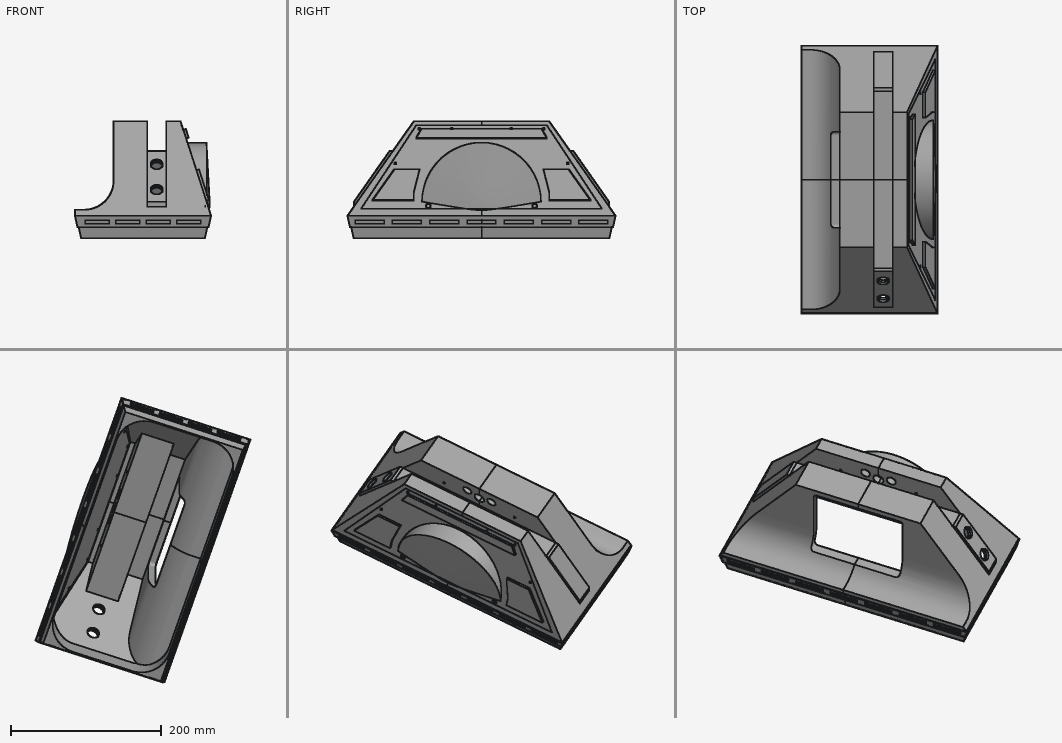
import cadquery as cq
import math

LENGTH = 355.5
WIDTH = 180.5
HEIGHT = 155.3
RIM_Z = 30.0
TOP_X = 140.0
TOP_HALF_Y = 89.5

LEDGE_TOP_Z = 38.0
LEDGE_DEPTH = 12.8
SWEEP_RADIUS = 38.5

FRONT_WALL = 10.0
THIN_WALL = 3.5
BASE_WALL = 1.6
BASE_CORNER_RADIUS = 39.0

SLOT_X = 96.0
SLOT_WIDTH = 25.0
SLOT_FLOOR_Z = 116.0

WINDOW_HALF_Y = 63.5
WINDOW_BOTTOM_Z = 48.5
WINDOW_TOP_Z = 146.8
WINDOW_CORNER_RADIUS = 5.0

CENTRE_HOLE_DIAMETER = 14.5
CENTRE_HOLE_Z = 133.0
SIDE_HOLE_DIAMETER = 12.8
SIDE_HOLE_Y = 18.5
SIDE_HOLE_Z = 137.5
SCREW_HOLE_DIAMETER = 2.52
WALL_SCREW_Y = 54.0
WALL_SCREW_Z = 128.0

BELT_BOTTOM_Z = 15.0
BELT_THICKNESS = 1.6
BASE_TAPER = 0.22
BELT_SLIT_HEIGHT = 4.5
BELT_SLIT_Z = 21.5
END_SLIT_COUNT = 4
END_SLIT_LENGTH = 32.0
END_SLIT_PITCH = 40.5
SIDE_SLIT_COUNT = 7
SIDE_SLIT_LENGTH = 38.5
SIDE_SLIT_PITCH = 49.5

PLATE_THICKNESS = 3.5
PLATE_END_Y = 169.0
PLATE_HOLE_DIAMETER = 16.0
PLATE_HOLE_LEVELS = (62.5, 96.0)

PANEL_TOP_Z = 150.0
PANEL_TOP_HALF_Y = 86.5
PANEL_BOTTOM_Z = 39.0
PANEL_BOTTOM_HALF_Y = 159.5
PANEL_SCREWS = ((39.5, 145.5), (82.5, 145.5), (114.5, 99.5))
PANEL_HOLE_DIAMETER = 6.5
PANEL_HOLE_Y = 70.5
PANEL_HOLE_Z = 43.5

DRUM_RADIUS = 79.0
DRUM_AXIS_Z = 48.0
DRUM_RIM_X = 174.5
DRUM_TIP_X = 178.7

TRIM_THICKNESS = 3.5
STRIP_TOP_Z = 144.0
STRIP_TOP_HALF_Y = 80.0
STRIP_BOTTOM_Z = 132.2
STRIP_BOTTOM_HALF_Y = 86.7
PAD_OUTLINE = ((82.0, 90.3), (116.0, 90.3), (144.5, 49.7), (89.5, 49.7), (89.5, 61.0))

SIDES = (-1, 1)
MID_X = WIDTH / 2
HOOD_HEIGHT = HEIGHT - RIM_Z
SIDE_ANGLE = math.atan2(WIDTH - TOP_X, HOOD_HEIGHT)
END_ANGLE = math.atan2(LENGTH / 2 - TOP_HALF_Y, HOOD_HEIGHT)
FRONT_X = LEDGE_DEPTH + SWEEP_RADIUS
SWEEP_Z = LEDGE_TOP_Z + SWEEP_RADIUS

SIDE_PLANE = cq.Plane(
    origin=(WIDTH, 0, RIM_Z),
    xDir=(0, 1, 0),
    normal=(math.cos(SIDE_ANGLE), 0, math.sin(SIDE_ANGLE)),
)


def side_x(z):
    """X of the outer +X side at height z."""
    return WIDTH - (z - RIM_Z) * math.tan(SIDE_ANGLE)


def end_y(z):
    """Half length between the outer sloped ends at height z."""
    return LENGTH / 2 - (z - RIM_Z) * math.tan(END_ANGLE)


def on_side(y, z):
    """Point of the sloped +X side, in the coordinates of SIDE_PLANE."""
    return (y, (z - RIM_Z) / math.cos(SIDE_ANGLE))


def side_slab(outline, thickness):
    """Slab standing on the sloped +X side; a negative thickness goes inward."""
    points = [on_side(y, z) for y, z in outline]
    return cq.Workplane(SIDE_PLANE).polyline(points).close().extrude(thickness)


def sweep_point(radius, z):
    """Point of a circle about the sweep axis, at height z, on its lower right."""
    drop = SWEEP_Z - z
    return (LEDGE_DEPTH + math.sqrt(radius**2 - drop**2), z)


def sweep_middle(radius, z):
    """Middle of the arc that runs from height z up to the level of the sweep axis."""
    angle = math.asin((SWEEP_Z - z) / radius) / 2
    return (LEDGE_DEPTH + radius * math.cos(angle), SWEEP_Z - radius * math.sin(angle))


def tapered_block(inset, bottom_z, top_z):
    """Block that narrows downward, parallel to the base; inset is measured at the rim."""
    def size_at(z):
        run = 2 * (inset + BASE_TAPER * (RIM_Z - z))
        return (WIDTH - run, LENGTH - run)

    return (
        cq.Workplane("XY", origin=(MID_X, 0, bottom_z))
        .rect(*size_at(bottom_z))
        .workplane(offset=top_z - bottom_z)
        .rect(*size_at(top_z))
        .loft()
    )


def along_y(profile):
    """Extrudes an XZ profile over the whole length."""
    return profile.extrude(LENGTH / 2, both=True)


def end_trapezoid(inset, top_z):
    """Block between the two sloped ends, with its ends set in by a horizontal distance."""
    low = end_y(RIM_Z) - inset
    high = end_y(top_z) - inset
    outline = [(-low, RIM_Z), (low, RIM_Z), (high, top_z), (-high, top_z)]
    return cq.Workplane("YZ").polyline(outline).close().extrude(WIDTH)


def plate_hole_cutter(z):
    """Cylinder square to the sloped -Y end, through the plate and the wall behind it."""
    reach = PLATE_THICKNESS + THIN_WALL
    direction = cq.Vector(0, -math.cos(END_ANGLE), math.sin(END_ANGLE))
    centre = cq.Vector(SLOT_X + SLOT_WIDTH / 2, -end_y(z), z)
    start = centre - direction * (2 * reach)
    return cq.Solid.makeCylinder(PLATE_HOLE_DIAMETER / 2, 4 * reach, start, direction)


def panel_blank():
    """Trapezoidal plate that fills the opening in the +X side."""
    outline = [
        (-PANEL_BOTTOM_HALF_Y, PANEL_BOTTOM_Z),
        (PANEL_BOTTOM_HALF_Y, PANEL_BOTTOM_Z),
        (PANEL_TOP_HALF_Y, PANEL_TOP_Z),
        (-PANEL_TOP_HALF_Y, PANEL_TOP_Z),
    ]
    return side_slab(outline, -THIN_WALL)


def hood():
    profile = (
        cq.Workplane("XZ")
        .moveTo(0, RIM_Z)
        .lineTo(0, LEDGE_TOP_Z)
        .lineTo(LEDGE_DEPTH, LEDGE_TOP_Z)
        .threePointArc(sweep_middle(SWEEP_RADIUS, LEDGE_TOP_Z), (FRONT_X, SWEEP_Z))
        .lineTo(FRONT_X, HEIGHT)
        .lineTo(TOP_X, HEIGHT)
        .lineTo(WIDTH, RIM_Z)
        .close()
    )
    return along_y(profile).intersect(end_trapezoid(0, HEIGHT))


def slot_trough():
    """Solid left inside the cavity around the slot."""
    width = SLOT_WIDTH + 2 * FRONT_WALL
    depth = HEIGHT - SLOT_FLOOR_Z + THIN_WALL
    block = cq.Workplane("XY").box(width, LENGTH, depth, centered=(False, True, False))
    return block.translate((SLOT_X - FRONT_WALL, 0, SLOT_FLOOR_Z - THIN_WALL))


def upright_pocket(top_z):
    """Straight-walled pocket with rounded corners, open at the bottom of the base."""
    inset = BELT_THICKNESS + BASE_TAPER * RIM_Z + BASE_WALL
    pocket = cq.Workplane("XY", origin=(MID_X, 0, 0)).rect(WIDTH - 2 * inset, LENGTH - 2 * inset)
    return pocket.extrude(top_z).edges("|Z").fillet(BASE_CORNER_RADIUS)


def hood_cavity():
    """Room above the rim, within the outline of the pocket in the base."""
    roof_z = HEIGHT - THIN_WALL
    side_run = THIN_WALL / math.cos(SIDE_ANGLE)
    inner_radius = SWEEP_RADIUS + FRONT_WALL
    profile = (
        cq.Workplane("XZ")
        .moveTo(*sweep_point(inner_radius, RIM_Z))
        .threePointArc(sweep_middle(inner_radius, RIM_Z), (FRONT_X + FRONT_WALL, SWEEP_Z))
        .lineTo(FRONT_X + FRONT_WALL, roof_z)
        .lineTo(side_x(roof_z) - side_run, roof_z)
        .lineTo(WIDTH - side_run, RIM_Z)
        .close()
    )
    end_run = THIN_WALL / math.cos(END_ANGLE)
    room = along_y(profile).intersect(end_trapezoid(end_run, roof_z))
    return room.intersect(upright_pocket(roof_z)).cut(slot_trough())


def slot():
    depth = HEIGHT - SLOT_FLOOR_Z
    block = cq.Workplane("XY").box(SLOT_WIDTH, LENGTH, depth, centered=(False, True, False))
    return block.translate((SLOT_X, 0, SLOT_FLOOR_Z))


def window():
    return (
        cq.Workplane("YZ")
        .center(0, (WINDOW_BOTTOM_Z + WINDOW_TOP_Z) / 2)
        .rect(2 * WINDOW_HALF_Y, WINDOW_TOP_Z - WINDOW_BOTTOM_Z)
        .extrude(FRONT_X + FRONT_WALL)
        .edges("|X")
        .fillet(WINDOW_CORNER_RADIUS)
    )


def slot_wall_holes():
    start = cq.Workplane("YZ", origin=(SLOT_X - FRONT_WALL, 0, 0))
    depth = SLOT_WIDTH + 2 * FRONT_WALL
    centre = start.center(0, CENTRE_HOLE_Z).circle(CENTRE_HOLE_DIAMETER / 2).extrude(depth)
    side_points = [(side * SIDE_HOLE_Y, SIDE_HOLE_Z) for side in SIDES]
    screw_points = [(side * WALL_SCREW_Y, WALL_SCREW_Z) for side in SIDES]
    beside = start.pushPoints(side_points).circle(SIDE_HOLE_DIAMETER / 2).extrude(depth)
    screws = start.pushPoints(screw_points).circle(SCREW_HOLE_DIAMETER / 2).extrude(depth)
    return centre.add(beside).add(screws).combine()


def housing_shell():
    shell = hood().union(tapered_block(BELT_THICKNESS, 0, RIM_Z))
    shell = shell.cut(hood_cavity()).cut(upright_pocket(RIM_Z))
    shell = shell.cut(slot()).cut(window()).cut(slot_wall_holes()).cut(panel_blank())
    for z in PLATE_HOLE_LEVELS:
        shell = shell.cut(cq.Workplane(plate_hole_cutter(z)))
    return shell


def housing_half(shell, side):
    """The part of the shell on one side of its middle plane."""
    half_space = cq.Workplane("XY").box(WIDTH, LENGTH / 2, HEIGHT, centered=(False, True, False))
    return shell.intersect(half_space.translate((0, side * LENGTH / 4, 0)))


def belt():
    ring = tapered_block(0, BELT_BOTTOM_Z, RIM_Z).cut(tapered_block(BELT_THICKNESS, BELT_BOTTOM_Z, RIM_Z))
    middle = cq.Workplane("XY", origin=(MID_X, 0, BELT_SLIT_Z))
    end_slits = middle.rarray(END_SLIT_PITCH, 3.5, END_SLIT_COUNT, 1).box(
        END_SLIT_LENGTH, LENGTH, BELT_SLIT_HEIGHT
    )
    side_slits = middle.rarray(3.5, SIDE_SLIT_PITCH, 1, SIDE_SLIT_COUNT).box(
        WIDTH, SIDE_SLIT_LENGTH, BELT_SLIT_HEIGHT
    )
    return ring.cut(end_slits).cut(side_slits)


def end_plate(side):
    """Plate on one sloped end, level with the slot floor and as wide as the slot."""
    run = PLATE_THICKNESS / math.cos(END_ANGLE)
    rise = PLATE_THICKNESS / math.sin(END_ANGLE)
    end_z = RIM_Z + (LENGTH / 2 - PLATE_END_Y) / math.tan(END_ANGLE)
    inner_y = end_y(SLOT_FLOOR_Z)
    outline = [
        (side * inner_y, SLOT_FLOOR_Z),
        (side * (inner_y + run), SLOT_FLOOR_Z),
        (side * PLATE_END_Y, end_z + rise),
        (side * PLATE_END_Y, end_z),
    ]
    return cq.Workplane("YZ", origin=(SLOT_X, 0, 0)).polyline(outline).close().extrude(SLOT_WIDTH)


def drilled_end_plate(side):
    plate = end_plate(side)
    for z in PLATE_HOLE_LEVELS:
        plate = plate.cut(cq.Workplane(plate_hole_cutter(z)))
    return plate


def panel():
    screw_points = [on_side(side * y, z) for side in SIDES for y, z in PANEL_SCREWS]
    hole_points = [on_side(side * PANEL_HOLE_Y, PANEL_HOLE_Z) for side in SIDES]
    face = cq.Workplane(SIDE_PLANE)
    screws = face.pushPoints(screw_points).circle(SCREW_HOLE_DIAMETER / 2).extrude(-THIN_WALL)
    holes = face.pushPoints(hole_points).circle(PANEL_HOLE_DIAMETER / 2).extrude(-THIN_WALL)
    return panel_blank().cut(screws).cut(holes)


def drum():
    """Drum along X that ends on the sloped panel."""
    outline = [(0, 0), (DRUM_TIP_X, 0), (DRUM_RIM_X, DRUM_RADIUS), (0, DRUM_RADIUS)]
    body = cq.Workplane("XY").polyline(outline).close().revolve(360, (0, 0, 0), (1, 0, 0))
    outside = cq.Workplane(SIDE_PLANE).rect(2 * LENGTH, 2 * LENGTH).extrude(LENGTH)
    return body.translate((0, 0, DRUM_AXIS_Z)).intersect(outside)


def top_strip():
    outline = [
        (-STRIP_BOTTOM_HALF_Y, STRIP_BOTTOM_Z),
        (STRIP_BOTTOM_HALF_Y, STRIP_BOTTOM_Z),
        (STRIP_TOP_HALF_Y, STRIP_TOP_Z),
        (-STRIP_TOP_HALF_Y, STRIP_TOP_Z),
    ]
    return side_slab(outline, TRIM_THICKNESS)


def side_pad(side):
    return side_slab([(side * y, z) for y, z in PAD_OUTLINE], TRIM_THICKNESS)


whole_shell = housing_shell()
housing_halves = [housing_half(whole_shell, side).val() for side in SIDES]
end_plates = [drilled_end_plate(-1).val(), end_plate(1).val()]
side_pads = [side_pad(side).val() for side in SIDES]

result = cq.Compound.makeCompound([
    *housing_halves,
    belt().val(),
    *end_plates,
    panel().val(),
    drum().val(),
    top_strip().val(),
    *side_pads,
])